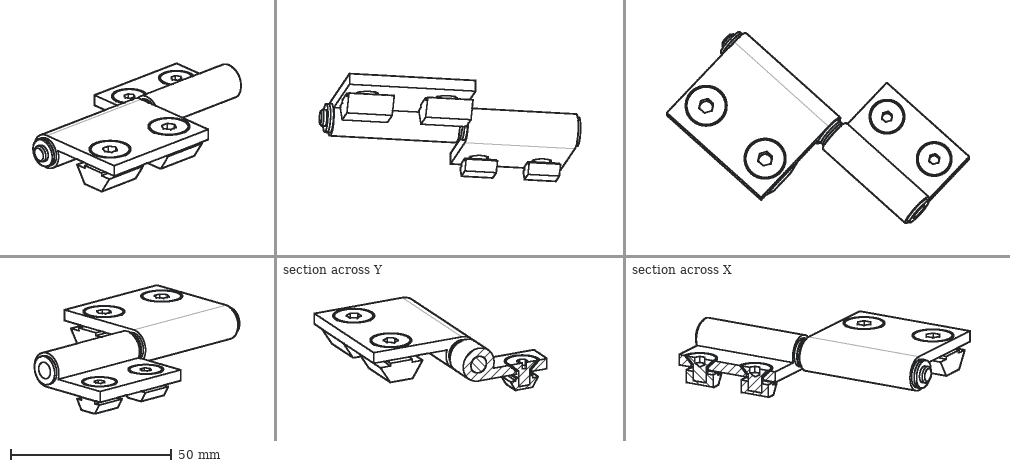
import cadquery as cq
import math

overall_length = 81.7

knuckle_diameter = 11.0
knuckle_radius = knuckle_diameter / 2
leaf_thickness = 3.5
small_leaf_length = 35.0
small_leaf_reach = 24.0
large_leaf_length = 40.0
large_leaf_reach = 31.0

collar_diameter = 9.1
collar_width = 0.9
ring_diameter = 8.8
spacer_width = 0.7
end_ring_width = 0.8
pin_diameter = 5.2
pin_tip_chamfer = 0.6

small_leaf_end = overall_length - collar_width
small_leaf_start = small_leaf_end - small_leaf_length
spacer_end = small_leaf_start - collar_width
spacer_start = spacer_end - spacer_width
large_leaf_end = spacer_start - collar_width
large_leaf_start = large_leaf_end - large_leaf_length
end_ring_end = large_leaf_start - collar_width
end_ring_start = end_ring_end - end_ring_width

small_leaf_top = leaf_thickness - knuckle_radius
large_leaf_top = knuckle_radius

screw_clearance = 0.5
nut_standoff = 1.15
nut_neck_height = 0.9
tip_margin = 1.0
drill_angle = 120
socket_turn = 30

small_fastener = dict(
    x=-16.0,
    y_middle=(small_leaf_start + small_leaf_end) / 2,
    spacing=20.0,
    leaf_top=small_leaf_top,
    head_diameter=10.05,
    shank_diameter=5.0,
    socket_width=3.0,
    socket_depth=2.0,
    nut_width=10.0,
    nut_length=10.0,
    nut_neck_width=6.05,
    nut_base_width=6.05,
    nut_body_height=3.3,
)
large_fastener = dict(
    x=21.0,
    y_middle=(large_leaf_start + large_leaf_end) / 2,
    spacing=25.0,
    leaf_top=large_leaf_top,
    head_diameter=12.0,
    shank_diameter=6.0,
    socket_width=4.1,
    socket_depth=2.6,
    nut_width=14.9,
    nut_length=14.4,
    nut_neck_width=7.7,
    nut_base_width=7.85,
    nut_body_height=5.5,
)


def cylinder_y(diameter, y_start, y_end):
    """Cylinder on the hinge axis between two Y stations."""
    plane = cq.Workplane("XZ", origin=(0, y_start, 0))
    return plane.circle(diameter / 2).extrude(y_start - y_end)


def countersunk_shape(size, x, y, clearance, z_bottom):
    """90 degree head cone, flush with the leaf, on a shank that runs down to z_bottom."""
    rim_z = size["leaf_top"]
    rim_radius = size["head_diameter"] / 2 + clearance
    shank_radius = size["shank_diameter"] / 2 + clearance
    cone_bottom = rim_z - (rim_radius - shank_radius)
    profile = [
        (0, rim_z),
        (rim_radius, rim_z),
        (shank_radius, cone_bottom),
        (shank_radius, z_bottom),
        (0, z_bottom),
    ]
    body = cq.Workplane("XZ").polyline(profile).close().revolve(360, (0, 0), (0, 1))
    return body.translate((x, y, 0))


def positions(size):
    """Centres of the two fasteners on one leaf."""
    half = size["spacing"] / 2
    return [(size["x"], size["y_middle"] + offset) for offset in (-half, half)]


def leaf(size, reach, y_start, y_end):
    """Knuckle with end collars and a flat plate, countersunk for its screws."""
    top = size["leaf_top"]
    length = y_end - y_start
    plate = (
        cq.Workplane()
        .box(abs(reach), length, leaf_thickness)
        .translate((reach / 2, y_start + length / 2, top - leaf_thickness / 2))
    )
    body = plate.union(cylinder_y(knuckle_diameter, y_start, y_end))
    body = body.union(cylinder_y(collar_diameter, y_start - collar_width, y_end + collar_width))
    for x, y in positions(size):
        body = body.cut(countersunk_shape(size, x, y, screw_clearance, top - leaf_thickness))
    return body


def pin_shaft():
    """Full-length pin with a chamfered tip."""
    shaft = cylinder_y(pin_diameter, 0, overall_length)
    return shaft.faces("<Y").chamfer(pin_tip_chamfer)


def small_leaf():
    """Lift-off leaf, bored right through for the pin."""
    body = leaf(small_fastener, -small_leaf_reach, small_leaf_start, small_leaf_end)
    return body.cut(cylinder_y(pin_diameter, 0, overall_length))


def large_leaf():
    """Leaf that carries the fixed pin, the spacer ring and the end ring."""
    body = leaf(large_fastener, large_leaf_reach, large_leaf_start, large_leaf_end)
    body = body.union(cylinder_y(ring_diameter, spacer_start, spacer_end))
    body = body.union(cylinder_y(ring_diameter, end_ring_start, end_ring_end))
    return body.union(pin_shaft())


def nut_bottom(size):
    """Height of the underside of the nut."""
    leaf_bottom = size["leaf_top"] - leaf_thickness
    return leaf_bottom - nut_standoff - nut_neck_height - size["nut_body_height"]


def screw(size, x, y):
    """Countersunk screw with a hexagon socket ending in a drill cone."""
    body = countersunk_shape(size, x, y, 0, nut_bottom(size) + tip_margin)
    socket_radius = size["socket_width"] / 2
    socket_depth = size["socket_depth"]
    corner_diameter = size["socket_width"] / math.cos(math.pi / 6)
    cone_depth = socket_radius / math.tan(math.radians(drill_angle / 2))
    hexagon = (
        cq.Workplane()
        .polygon(6, corner_diameter)
        .extrude(-socket_depth)
        .rotate((0, 0, 0), (0, 0, 1), socket_turn)
    )
    cone_profile = [(0, -socket_depth), (socket_radius, -socket_depth), (0, -socket_depth - cone_depth)]
    cone = cq.Workplane("XZ").polyline(cone_profile).close().revolve(360, (0, 0), (0, 1))
    socket = hexagon.union(cone).translate((x, y, size["leaf_top"]))
    return body.cut(socket)


def nut(size, x, y):
    """Slot nut: necked block with flanks tapering to a narrow base, with a blind screw hole."""
    base_z = nut_bottom(size)
    shoulder_z = base_z + size["nut_body_height"]
    top_z = shoulder_z + nut_neck_height
    half_base = size["nut_base_width"] / 2
    half_width = size["nut_width"] / 2
    half_neck = size["nut_neck_width"] / 2
    outline = [
        (-half_base, base_z),
        (half_base, base_z),
        (half_width, shoulder_z),
        (half_neck, shoulder_z),
        (half_neck, top_z),
        (-half_neck, top_z),
        (-half_neck, shoulder_z),
        (-half_width, shoulder_z),
    ]
    block = cq.Workplane("XZ").polyline(outline).close().extrude(size["nut_length"] / 2, both=True)
    block = block.translate((x, y, 0))
    hole_floor = cq.Workplane(origin=(x, y, base_z + tip_margin))
    hole = hole_floor.circle(size["shank_diameter"] / 2).extrude(top_z - base_z - tip_margin)
    return block.cut(hole)


screws = []
nuts = []
for size in (small_fastener, large_fastener):
    for x, y in positions(size):
        screws.append(screw(size, x, y).val())
        nuts.append(nut(size, x, y).val())

result = cq.Compound.makeCompound([small_leaf().val(), large_leaf().val(), *screws, *nuts])